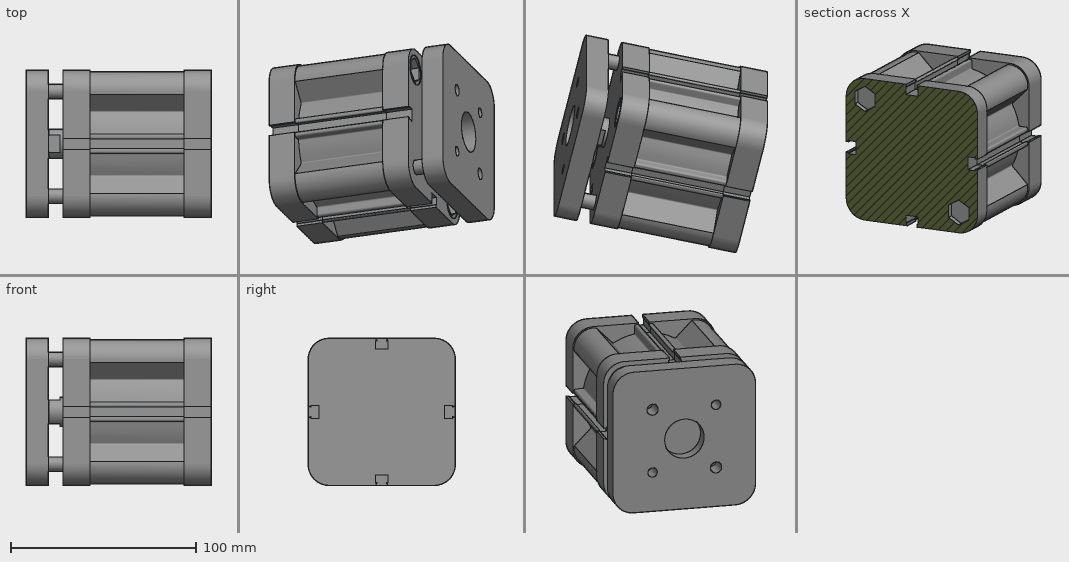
import cadquery as cq
import math

total_length = 100.0
body_width = 79.5
plate_thickness = 12.0
front_cap_start = 19.9
cap_length = 14.7
barrel_start = front_cap_start + cap_length
rear_cap_start = total_length - cap_length
barrel_length = rear_cap_start - barrel_start
rod_gap = front_cap_start - plate_thickness

half_width = body_width / 2
corner_radius = 11.5
corner_center = half_width - corner_radius

plate_recess_diameter = 22.0
plate_recess_depth = 7.6
bolt_offset = 17.7
clearance_hole_diameter = 6.2
dowel_hole_diameter = 5.2

guide_rod_diameter = 8.0
piston_rod_diameter = 16.0
rod_across_flats = 13.0
rod_flat_length = 6.3
rod_chamfer = 0.4

screw_diameter = 16.4
screw_sink = 0.4
socket_sides = 6
socket_across_flats = 12.0
socket_depth = 7.0

barrel_height = 39.0
lobe_radius = barrel_height - corner_center
lobe_flank_start = 26.7
tube_radius = 34.2
rib_half_width = 5.3
root_radius = 0.8
rib_outer_radius = 1.1

slot_floor = 33.9
chamber_half_width = 3.5
cap_lip_height = 1.6
lip_bottom = half_width - cap_lip_height
cap_mouth_half_width = 3.0
barrel_mouth_half_width = 2.6
barrel_mouth_radius = 0.7

DIAGONALS = [(1, 1), (-1, 1), (-1, -1), (1, -1)]


def plane_at(x):
    """Plane across the axis at X = x, with local axes along Y and Z."""
    return cq.Workplane("YZ", origin=(x, 0, 0))


def on_four_sides(solid):
    """The solid and its three copies turned about the cylinder axis."""
    return [solid.rotate((0, 0, 0), (1, 0, 0), 90 * turn) for turn in range(4)]


def rounded_square(x, length):
    block = plane_at(x).rect(body_width, body_width).extrude(length)
    return block.edges("|X").fillet(corner_radius)


def cut_sensor_slots(body, x, length, mouth_half_width):
    """T-shaped slots along all four sides: a narrow mouth above a wider chamber."""
    outline = [
        (mouth_half_width, half_width),
        (mouth_half_width, lip_bottom),
        (chamber_half_width, lip_bottom),
        (chamber_half_width, slot_floor),
    ]
    mirrored = [(-y, z) for y, z in reversed(outline)]
    slot = plane_at(x).polyline(outline + mirrored).close().extrude(length)
    for side_slot in on_four_sides(slot):
        body = body.cut(side_slot)
    return body


def make_plate():
    plate = rounded_square(0, plate_thickness)
    plate = plate.cut(plane_at(0).circle(plate_recess_diameter / 2).extrude(plate_recess_depth))
    for side_y, side_z in DIAGONALS:
        same_side = side_y == side_z
        diameter = clearance_hole_diameter if same_side else dowel_hole_diameter
        hole = plane_at(0).center(side_y * bolt_offset, side_z * bolt_offset).circle(diameter / 2)
        plate = plate.cut(hole.extrude(plate_thickness))
        if not same_side:
            rod_plane = plane_at(plate_thickness).center(side_y * corner_center, side_z * corner_center)
            plate = plate.union(rod_plane.circle(guide_rod_diameter / 2).extrude(rod_gap))
    return plate


def make_piston_rod():
    start = plane_at(plate_thickness)
    rod = start.circle(piston_rod_diameter / 2).extrude(rod_gap).faces("<X").chamfer(rod_chamfer)
    envelope = start.rect(piston_rod_diameter, piston_rod_diameter).extrude(rod_flat_length)
    kept = start.rect(piston_rod_diameter, rod_across_flats).extrude(rod_flat_length)
    return rod.cut(envelope.cut(kept))


def make_cap(x):
    return cut_sensor_slots(rounded_square(x, cap_length), x, cap_length, cap_mouth_half_width)


def make_front_cap():
    """End cap with two sunk socket screws on the diagonal free of guide rods."""
    cap = make_cap(front_cap_start)
    socket_across_corners = socket_across_flats / math.cos(math.pi / socket_sides)
    half_side_angle = 180 / socket_sides
    for side in (1, -1):
        position = side * corner_center
        face = plane_at(front_cap_start).center(position, position)
        cap = cap.cut(face.circle(screw_diameter / 2).extrude(screw_sink))
        socket = face.polygon(socket_sides, socket_across_corners).extrude(socket_depth)
        cap = cap.cut(socket.rotate((0, position, position), (1, position, position), half_side_angle))
    return cap


def make_lobe():
    """Corner lobe whose two 45 degree flanks run down into the tube."""
    rise = math.sqrt(lobe_radius ** 2 - (lobe_flank_start - corner_center) ** 2)
    flank_top = corner_center + rise
    tip = corner_center + lobe_radius / math.sqrt(2)
    flank_run = flank_top - lobe_flank_start
    return (
        plane_at(barrel_start)
        .moveTo(lobe_flank_start, flank_top)
        .threePointArc((tip, tip), (flank_top, lobe_flank_start))
        .lineTo(flank_run, 0)
        .lineTo(0, 0)
        .lineTo(0, flank_run)
        .close()
        .extrude(barrel_length)
    )


def make_rib():
    """Rib along one side, later split by its sensor slot."""
    middle = plane_at(barrel_start).center(0, barrel_height / 2)
    return middle.rect(2 * rib_half_width, barrel_height).extrude(barrel_length)


def fillet_lengthwise(body, chosen, radius):
    """Fillet the edges along X whose smaller and larger distances off the axis pass `chosen`."""
    def is_chosen(edge):
        center = edge.Center()
        return chosen(*sorted((abs(center.y), abs(center.z))))
    return body.edges("|X").filter(is_chosen).fillet(radius)


def make_barrel():
    barrel = plane_at(barrel_start).circle(tube_radius).extrude(barrel_length)
    for part in on_four_sides(make_lobe()) + on_four_sides(make_rib()):
        barrel = barrel.union(part)

    tolerance = 0.01

    def on_tube(near, far):
        return math.hypot(near, far) < tube_radius + tolerance

    def at_rib_corner(near, far):
        return abs(near - rib_half_width) < tolerance and abs(far - barrel_height) < tolerance

    def at_mouth(near, far):
        return abs(near - barrel_mouth_half_width) < tolerance and abs(far - barrel_height) < tolerance

    barrel = fillet_lengthwise(barrel, on_tube, root_radius)
    barrel = fillet_lengthwise(barrel, at_rib_corner, rib_outer_radius)
    barrel = cut_sensor_slots(barrel, barrel_start, barrel_length, barrel_mouth_half_width)
    return fillet_lengthwise(barrel, at_mouth, barrel_mouth_radius)


plate = make_plate()
piston_rod = make_piston_rod()
front_cap = make_front_cap()
barrel = make_barrel()
rear_cap = make_cap(rear_cap_start)
result = cq.Compound.makeCompound(
    [plate.val(), piston_rod.val(), front_cap.val(), barrel.val(), rear_cap.val()]
)